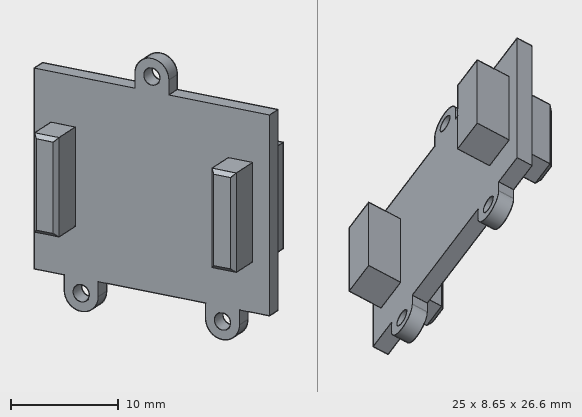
import cadquery as cq

plate_width = 25.0
plate_height = 20.0
plate_thickness = 1.65

tab_radius = 1.8
tab_reach = (26.6 - plate_height) / 2
tab_hole_diameter = 1.7
bottom_tab_x = 7.5
hole_z = plate_height / 2 + tab_reach - tab_radius
tab_centers = [(0, hole_z), (-bottom_tab_x, -hole_z), (bottom_tab_x, -hole_z)]

block_x = 9.42
block_depth = 3.5
front_block_width = 2.58
front_block_height = 9.9
front_chamfer = 0.4
back_block_width = 3.4
back_block_height = 10.6


def plate_box(width, height, center_x=0, center_z=0):
    """Box of plate thickness, from Y = 0 to the back face."""
    return cq.Workplane("XY").box(width, plate_thickness, height, centered=(True, False, True)).translate(
        (center_x, 0, center_z)
    )


def tab(x, z):
    """Round tab end joined to the plate by a straight neck."""
    round_end = cq.Workplane("XZ").center(x, z).circle(tab_radius).extrude(-plate_thickness)
    neck = plate_box(2 * tab_radius, abs(z), x, z / 2)
    return round_end.union(neck)


def tab_holes():
    return cq.Workplane("XZ").pushPoints(tab_centers).circle(tab_hole_diameter / 2).extrude(-plate_thickness)


def front_block(x):
    """Block toward -Y with all four edges of its end face chamfered."""
    block = cq.Workplane("XZ").center(x, 0).rect(front_block_width, front_block_height).extrude(block_depth)
    return block.faces("<Y").chamfer(front_chamfer)


def back_block(x):
    """Plain block toward +Y."""
    back_face = cq.Workplane("XZ", origin=(0, plate_thickness, 0))
    return back_face.center(x, 0).rect(back_block_width, back_block_height).extrude(-block_depth)


result = plate_box(plate_width, plate_height)
for tab_x, tab_z in tab_centers:
    result = result.union(tab(tab_x, tab_z))
result = result.cut(tab_holes())
for side_x in (-block_x, block_x):
    result = result.union(front_block(side_x)).union(back_block(side_x))